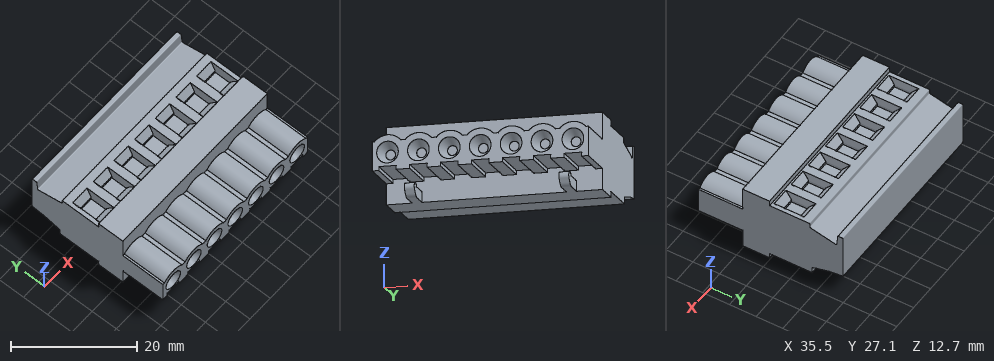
import math

import cadquery as cq


LENGTH = 35.55
DEPTH = 27.1
HEIGHT = 12.7

POLES = 7
PITCH = LENGTH / POLES
POLE_XS = [PITCH * (i - (POLES - 1) / 2) for i in range(POLES)]

COLLAR_FRONT = 8.3
COLLAR_REAR = 13.35
TOP_DECK_Z = 11.7
BOTTOM_DECK_Z = 0.92
TOP_DECK_REAR = 20.87
RAMP_HIGH_Z = 10.85
RAMP_LOW_Y = 25.9
RAMP_LOW_Z = 9.6
LIP_FRONT = 26.1
BOTTOM_DECK_REAR = 21.3
TAIL_LOW_Z = 2.1
TAIL_BEND_Y = 24.45
TAIL_BEND_Z = 2.9
TAIL_END_Z = 3.2
EDGE_FILLET = 0.18

SHOULDER_Z = 8.25
SLEEVE_BOTTOM_Z = 3.45
SLEEVE_TOP_Z = 9.2
SLEEVE_RADIUS = 2.9
SLEEVE_Z = SLEEVE_TOP_Z - SLEEVE_RADIUS

HOLE_Z = 6.35
HOLE_MOUTH_DIAMETER = 3.55
HOLE_END_DIAMETER = 1.6
HOLE_DEPTH = 1.9

NOTCH_WIDTH = 2.85
NOTCH_HEIGHT = 0.65

POCKET_MOUTH_X = 3.5
POCKET_FRONT = 13.7
POCKET_REAR = 19.3
POCKET_FLOOR_X = 2.77
POCKET_FLOOR_FRONT = 14.97
POCKET_FLOOR_REAR = 18.15
POCKET_TAPER_DEPTH = 1.15
POCKET_WELL_DEPTH = 0.45

HOOK_WIDTH = 1.65
HOOK_X = (POLE_XS[-1] + POLE_XS[-2]) / 2
HOOK_ARM_Z = 1.75
HOOK_TIP_RADIUS = 0.7
HOOK_TIP_Y = 4.4
HOOK_TIP_Z = 1.55
HOOK_SLOPE = math.radians(50)
HOOK_HEEL_RADIUS = 1.28


def make_body():
    """Side outline of the housing, extruded along the row."""
    outline = [
        (COLLAR_FRONT, 0),
        (COLLAR_FRONT, HEIGHT),
        (COLLAR_REAR, HEIGHT),
        (COLLAR_REAR, TOP_DECK_Z),
        (TOP_DECK_REAR, TOP_DECK_Z),
        (TOP_DECK_REAR, RAMP_HIGH_Z),
        (RAMP_LOW_Y, RAMP_LOW_Z),
        (LIP_FRONT, TOP_DECK_Z),
        (DEPTH, TOP_DECK_Z),
        (DEPTH, TAIL_END_Z),
        (TAIL_BEND_Y, TAIL_BEND_Z),
        (BOTTOM_DECK_REAR, TAIL_LOW_Z),
        (BOTTOM_DECK_REAR, BOTTOM_DECK_Z),
        (COLLAR_REAR, BOTTOM_DECK_Z),
        (COLLAR_REAR, 0),
    ]
    body = cq.Workplane("YZ").polyline(outline).close().extrude(LENGTH / 2, both=True)
    rounded = [
        (TOP_DECK_REAR, TOP_DECK_Z),
        (TOP_DECK_REAR, RAMP_HIGH_Z),
        (RAMP_LOW_Y, RAMP_LOW_Z),
        (LIP_FRONT, TOP_DECK_Z),
        (DEPTH, TOP_DECK_Z),
        (BOTTOM_DECK_REAR, TAIL_LOW_Z),
    ]
    for y, z in rounded:
        edge = cq.selectors.NearestToPointSelector((0, y, z))
        body = body.edges(edge).fillet(EDGE_FILLET)
    return body


def make_sleeves():
    """Common bar with one rounded crown per pole."""
    sleeves = cq.Workplane("XY").box(
        LENGTH, COLLAR_FRONT, SHOULDER_Z - SLEEVE_BOTTOM_Z, centered=(True, False, False)
    ).translate((0, 0, SLEEVE_BOTTOM_Z))
    crown_half_width = math.sqrt(SLEEVE_RADIUS**2 - (SHOULDER_Z - SLEEVE_Z) ** 2)
    for x in POLE_XS:
        crown = (
            cq.Workplane("XZ")
            .moveTo(x - crown_half_width, SHOULDER_Z)
            .threePointArc((x, SLEEVE_TOP_Z), (x + crown_half_width, SHOULDER_Z))
            .close()
            .extrude(-COLLAR_FRONT)
        )
        sleeves = sleeves.union(crown)
    return sleeves


def make_contact_hole(x):
    """Cone narrowing from the plug face to a flat end."""
    return cq.Workplane(
        cq.Solid.makeCone(
            HOLE_MOUTH_DIAMETER / 2,
            HOLE_END_DIAMETER / 2,
            HOLE_DEPTH,
            pnt=cq.Vector(x, 0, HOLE_Z),
            dir=cq.Vector(0, 1, 0),
        )
    )


def make_notch(x):
    """Groove along the underside of one sleeve."""
    return cq.Workplane("XY").box(
        NOTCH_WIDTH, COLLAR_FRONT, NOTCH_HEIGHT, centered=(True, False, False)
    ).translate((x, 0, SLEEVE_BOTTOM_Z))


def make_pocket(x):
    """Tapered mouth leading into a short straight well."""
    mouth_y = (POCKET_FRONT + POCKET_REAR) / 2
    floor_y = (POCKET_FLOOR_FRONT + POCKET_FLOOR_REAR) / 2
    floor_length = POCKET_FLOOR_REAR - POCKET_FLOOR_FRONT
    taper = (
        cq.Workplane("XY", origin=(x, mouth_y, TOP_DECK_Z))
        .rect(POCKET_MOUTH_X, POCKET_REAR - POCKET_FRONT)
        .workplane(offset=-POCKET_TAPER_DEPTH)
        .center(0, floor_y - mouth_y)
        .rect(POCKET_FLOOR_X, floor_length)
        .loft()
    )
    well = (
        cq.Workplane("XY", origin=(x, floor_y, TOP_DECK_Z - POCKET_TAPER_DEPTH))
        .rect(POCKET_FLOOR_X, floor_length)
        .extrude(-POCKET_WELL_DEPTH)
    )
    return taper.union(well)


def make_hook(x):
    """Flat arm whose free end bends upwards into a round tip."""
    sin_slope = math.sin(HOOK_SLOPE)
    cos_slope = math.cos(HOOK_SLOPE)
    tip_dy = HOOK_TIP_RADIUS * sin_slope
    tip_dz = HOOK_TIP_RADIUS * cos_slope
    upper_y = HOOK_TIP_Y + tip_dy
    upper_z = HOOK_TIP_Z + tip_dz
    lower_y = HOOK_TIP_Y - tip_dy
    lower_z = HOOK_TIP_Z - tip_dz
    bend_y = upper_y + (upper_z - HOOK_ARM_Z) / math.tan(HOOK_SLOPE)

    heel_z = HOOK_HEEL_RADIUS * (1 - cos_slope)
    heel_y = lower_y + (lower_z - heel_z) / math.tan(HOOK_SLOPE)
    flat_y = heel_y + HOOK_HEEL_RADIUS * sin_slope
    return (
        cq.Workplane("YZ", origin=(x - HOOK_WIDTH / 2, 0, 0))
        .moveTo(COLLAR_FRONT, 0)
        .lineTo(COLLAR_FRONT, HOOK_ARM_Z)
        .lineTo(bend_y, HOOK_ARM_Z)
        .lineTo(upper_y, upper_z)
        .threePointArc((HOOK_TIP_Y - tip_dz, HOOK_TIP_Z + tip_dy), (lower_y, lower_z))
        .lineTo(heel_y, heel_z)
        .tangentArcPoint((flat_y, 0), relative=False)
        .close()
        .extrude(HOOK_WIDTH)
    )


result = make_body().union(make_sleeves())
for pole_x in POLE_XS:
    result = result.cut(make_contact_hole(pole_x))
    result = result.cut(make_notch(pole_x))
    result = result.cut(make_pocket(pole_x))
for hook_x in (-HOOK_X, HOOK_X):
    result = result.union(make_hook(hook_x))